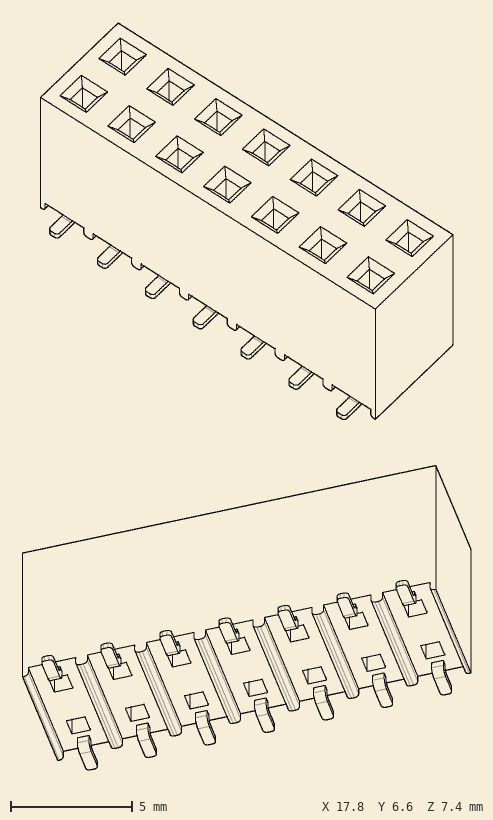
import cadquery as cq

pitch = 2.54
columns = 7
rows = 2

housing_length = columns * pitch
housing_width = rows * pitch
overall_height = 7.4
underside_z = 0.62

rib_width = 0.5
rib_bottom_z = 0.15
rib_edge_radius = 0.18

hole_side = 0.8
lead_in_side = 1.4
lead_in_depth = 0.3

contact_width = 0.5
contact_thickness = 0.27
contact_span = 6.6
inner_bend_radius = 0.2
outer_bend_radius = 0.33
heel_y = 1.95
tip_radius = 0.16
leg_embed = 0.3

column_positions = [(i - (columns - 1) / 2) * pitch for i in range(columns)]
row_positions = [(j - (rows - 1) / 2) * pitch for j in range(rows)]
rib_positions = [(i - columns / 2) * pitch for i in range(columns + 1)]


def make_housing():
    """Block with round-edged ribs below; the outermost ribs are cut flush with the ends."""
    block_height = overall_height - underside_z
    block = cq.Workplane("XY").box(housing_length, housing_width, block_height, centered=(True, True, False))
    block = block.translate((0, 0, underside_z))
    rib_height = underside_z - rib_bottom_z + rib_width
    rib = cq.Workplane("XY").box(rib_width, housing_width, rib_height, centered=(True, True, False))
    rib = rib.edges("|Y and <Z").fillet(rib_edge_radius).translate((0, 0, rib_bottom_z))
    for x in rib_positions:
        block = block.union(rib.translate((x, 0, 0)))
    envelope = cq.Workplane("XY").box(housing_length, housing_width, 2 * overall_height)
    return block.intersect(envelope)


def make_socket_cutter():
    """Square through hole plus the lead-in pyramid at the top."""
    hole = cq.Workplane("XY").rect(hole_side, hole_side).extrude(overall_height)
    lead_in = (
        cq.Workplane("XY", origin=(0, 0, overall_height))
        .rect(lead_in_side, lead_in_side)
        .workplane(offset=-lead_in_depth)
        .rect(hole_side, hole_side)
        .loft(ruled=True)
    )
    return hole.union(lead_in)


def make_contact():
    """Contact whose foot points to +Y, bent up into the housing, with a rounded tip."""
    tip_y = contact_span / 2
    front_y = heel_y + contact_thickness
    leg_top_z = underside_z + leg_embed
    contact = (
        cq.Workplane("YZ")
        .moveTo(tip_y, 0)
        .lineTo(heel_y + outer_bend_radius, 0)
        .radiusArc((heel_y, outer_bend_radius), outer_bend_radius)
        .lineTo(heel_y, leg_top_z)
        .lineTo(front_y, leg_top_z)
        .lineTo(front_y, contact_thickness + inner_bend_radius)
        .radiusArc((front_y + inner_bend_radius, contact_thickness), -inner_bend_radius)
        .lineTo(tip_y, contact_thickness)
        .close()
        .extrude(contact_width / 2, both=True)
    )
    return contact.edges("|Z and >Y").fillet(tip_radius)


housing = make_housing()
socket_cutter = make_socket_cutter()
for x in column_positions:
    for y in row_positions:
        housing = housing.cut(socket_cutter.translate((x, y, 0)))

back_contact = make_contact()
front_contact = back_contact.mirror("XZ")
result = housing
for x in column_positions:
    result = result.union(back_contact.translate((x, 0, 0)))
    result = result.union(front_contact.translate((x, 0, 0)))